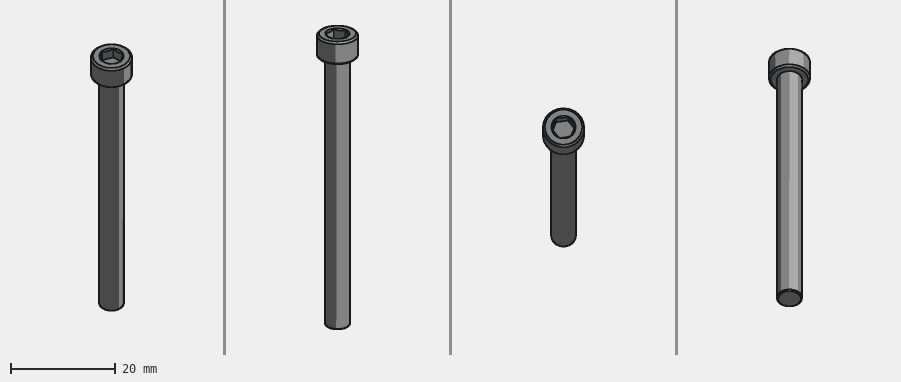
import cadquery as cq
import math

total_length = 62.0
head_diameter = 7.95
head_height = 4.85
head_top_chamfer = 0.395
head_bottom_chamfer = 0.4
shank_diameter = 4.85
shank_end_chamfer = 0.25
socket_across_flats = 3.95
socket_depth = 2.25
mouth_diameter = 4.65
mouth_depth = 0.3

shank_length = total_length - head_height
head_bottom = total_length / 2 - head_height
socket_across_corners = socket_across_flats / math.cos(math.radians(30))


def make_head():
    """Cylindrical head with both rims chamfered."""
    head = cq.Workplane("XY").workplane(offset=head_bottom).circle(head_diameter / 2).extrude(head_height)
    head = head.faces(">Z").edges().chamfer(head_top_chamfer)
    return head.faces("<Z").edges().chamfer(head_bottom_chamfer)


def make_shank():
    """Plain round shank with a chamfered free end."""
    shank = cq.Workplane("XY").workplane(offset=head_bottom).circle(shank_diameter / 2).extrude(-shank_length)
    return shank.faces("<Z").edges().chamfer(shank_end_chamfer)


def make_socket():
    """Hexagonal drive socket with two corners on the Y axis."""
    hexagon = cq.Workplane("XY").workplane(offset=total_length / 2 - socket_depth)
    hexagon = hexagon.transformed(rotate=(0, 0, 90)).polygon(6, socket_across_corners)
    return hexagon.extrude(socket_depth)


def make_socket_mouth():
    """45 degree conical lead-in at the socket opening."""
    mouth = cq.Workplane("XY").workplane(offset=total_length / 2).circle(mouth_diameter / 2)
    return mouth.extrude(-mouth_depth, taper=45)


result = make_head().union(make_shank()).cut(make_socket()).cut(make_socket_mouth())